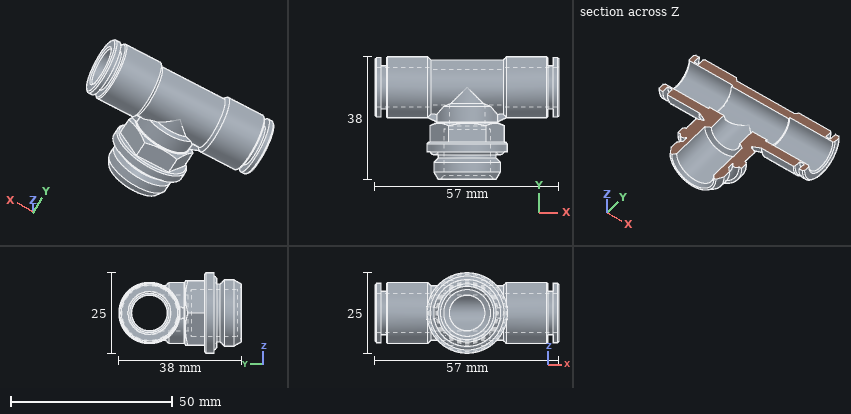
import cadquery as cq
import math


RUN_HALF_LENGTH = 28.5
RUN_DIA = 17.0
SLEEVE_DIA = 19.0
SLEEVE_INNER_END = 11.2
SLEEVE_OUTER_END = 25.0
SLEEVE_EDGE_CHAMFER = 0.4
COLLAR_DIA = 18.5
COLLAR_THICKNESS = 1.9
COLLAR_CHAMFER = 0.5
COLLAR_NECK_DIA = 13.5

FLOW_BORE_DIA = 11.0
TUBE_BORE_DIA = 12.2
TUBE_MOUTH_DIA = 13.2
TUBE_STOP = SLEEVE_INNER_END
BRANCH_BORE_DIA = 14.5
BRANCH_MOUTH_DIA = 16.5
BRANCH_MOUTH_ANGLE = 40.0
BRANCH_BORE_END = 13.0
BRANCH_BORE_CONE_ANGLE = 60.0

BOSS_DIA = 19.0
BOSS_CONE_START = 5.0
BOSS_END = 10.7
RELIEF_DIA = 18.7
HEX_START = 11.0
HEX_FLATS = 20.0
HEX_CHAMFER_DIA = 19.3
HEX_CHAMFER_ANGLE = 25.0
FLANGE_START = 17.0
FLANGE_END = 20.0
FLANGE_DIA = 25.0
FLANGE_CHAMFER = 0.5

SPIGOT_NECK_DIA = 18.0
SEAL_SECTION_DIA = 2.5
SEAL_PROJECTION = 0.9
THREAD_DIA = 20.7
SPIGOT_NECK_END = 21.9
BRANCH_LENGTH = 28.5
TIP_DIA = 18.0
TIP_ANGLE = 30.0

RIB_BOSS_WIDTH = 3.2
RIB_TAPER_ANGLE = 6.5
RIB_SLOPE_ANGLE = 25.0
RIB_INNER_Y = 6.0


def tan_deg(angle):
    return math.tan(math.radians(angle))


def revolve_along_x(stations):
    """Solid of revolution about X, the (x, diameter) stations of one half mirrored in x = 0."""
    right_half = [(x, dia / 2) for x, dia in stations]
    left_half = [(-x, radius) for x, radius in reversed(right_half)]
    end = stations[-1][0]
    outline = [(-end, 0)] + left_half + right_half + [(end, 0)]
    return cq.Workplane("XY").polyline(outline).close().revolve(360, (0, 0, 0), (1, 0, 0))


def revolve_along_branch(stations):
    """Solid of revolution about -Y from (distance, diameter) stations."""
    outline = [(dia / 2, -distance) for distance, dia in stations]
    outline = [(0, -stations[0][0])] + outline + [(0, -stations[-1][0])]
    return cq.Workplane("XY").polyline(outline).close().revolve(360, (0, 0, 0), (0, 1, 0))


def tube_run():
    sleeve_ramp = (SLEEVE_DIA - RUN_DIA) / 2
    collar_start = RUN_HALF_LENGTH - COLLAR_THICKNESS
    return revolve_along_x([
        (SLEEVE_INNER_END, RUN_DIA),
        (SLEEVE_INNER_END + sleeve_ramp, SLEEVE_DIA),
        (SLEEVE_OUTER_END - SLEEVE_EDGE_CHAMFER, SLEEVE_DIA),
        (SLEEVE_OUTER_END, SLEEVE_DIA - 2 * SLEEVE_EDGE_CHAMFER),
        (SLEEVE_OUTER_END, COLLAR_NECK_DIA),
        (collar_start, COLLAR_NECK_DIA),
        (collar_start, COLLAR_DIA),
        (RUN_HALF_LENGTH - COLLAR_CHAMFER, COLLAR_DIA),
        (RUN_HALF_LENGTH, COLLAR_DIA - 2 * COLLAR_CHAMFER),
    ])


def branch_body():
    boss_ramp = (BOSS_DIA - RUN_DIA) / 2
    thread_ramp = (THREAD_DIA - SPIGOT_NECK_DIA) / 2
    tip_length = (THREAD_DIA - TIP_DIA) / 2 / tan_deg(TIP_ANGLE)
    return revolve_along_branch([
        (0, RUN_DIA),
        (BOSS_CONE_START, RUN_DIA),
        (BOSS_CONE_START + boss_ramp, BOSS_DIA),
        (BOSS_END, BOSS_DIA),
        (BOSS_END, RELIEF_DIA),
        (FLANGE_START, RELIEF_DIA),
        (FLANGE_START, FLANGE_DIA - 2 * FLANGE_CHAMFER),
        (FLANGE_START + FLANGE_CHAMFER, FLANGE_DIA),
        (FLANGE_END, FLANGE_DIA),
        (FLANGE_END, SPIGOT_NECK_DIA),
        (SPIGOT_NECK_END, SPIGOT_NECK_DIA),
        (SPIGOT_NECK_END + thread_ramp, THREAD_DIA),
        (BRANCH_LENGTH - tip_length, THREAD_DIA),
        (BRANCH_LENGTH, TIP_DIA),
    ])


def wrench_hex():
    """Hexagon with corners on +X and -X, its edge near the run chamfered."""
    corner_dia = HEX_FLATS / math.cos(math.pi / 6)
    prism = (
        cq.Workplane("XZ", origin=(0, -HEX_START, 0))
        .polygon(6, corner_dia)
        .extrude(FLANGE_START - HEX_START)
    )
    chamfer_depth = (corner_dia - HEX_CHAMFER_DIA) / 2 * tan_deg(HEX_CHAMFER_ANGLE)
    envelope = revolve_along_branch([
        (HEX_START, HEX_CHAMFER_DIA),
        (HEX_START + chamfer_depth, corner_dia),
        (FLANGE_START, corner_dia),
    ])
    return prism.intersect(envelope)


def seal_ring():
    """Round-section ring on the spigot neck, partly sunk into the flange."""
    section_radius = SEAL_SECTION_DIA / 2
    ring_radius = SPIGOT_NECK_DIA / 2 + section_radius
    center = -(FLANGE_END + SEAL_PROJECTION - section_radius)
    return (
        cq.Workplane("XY")
        .center(ring_radius, center)
        .circle(section_radius)
        .revolve(360, (-ring_radius, 0, 0), (-ring_radius, 1, 0))
    )


def ribs():
    """Sloped webs in the two corners, widening from the boss towards the sleeves."""
    boss_radius = BOSS_DIA / 2
    depth = BOSS_END - RIB_INNER_Y
    length = depth / tan_deg(RIB_SLOPE_ANGLE)
    wedge = (
        cq.Workplane("XY")
        .polyline([
            (0, -RIB_INNER_Y),
            (boss_radius + length, -RIB_INNER_Y),
            (boss_radius, -BOSS_END),
            (0, -BOSS_END),
        ])
        .close()
        .extrude(boss_radius, both=True)
    )
    boss_half_width = RIB_BOSS_WIDTH / 2
    far_half_width = boss_half_width + length * tan_deg(RIB_TAPER_ANGLE)
    plan = (
        cq.Workplane("XZ", origin=(0, -RIB_INNER_Y, 0))
        .polyline([
            (0, -boss_half_width),
            (boss_radius, -boss_half_width),
            (boss_radius + length, -far_half_width),
            (boss_radius + length, far_half_width),
            (boss_radius, boss_half_width),
            (0, boss_half_width),
        ])
        .close()
        .extrude(depth)
    )
    rib = plan.intersect(wedge)
    return rib.union(rib.mirror("YZ"))


def run_bore():
    mouth_depth = (TUBE_MOUTH_DIA - TUBE_BORE_DIA) / 2
    return revolve_along_x([
        (TUBE_STOP, FLOW_BORE_DIA),
        (TUBE_STOP, TUBE_BORE_DIA),
        (RUN_HALF_LENGTH - mouth_depth, TUBE_BORE_DIA),
        (RUN_HALF_LENGTH, TUBE_MOUTH_DIA),
    ])


def branch_bore():
    cone_length = (BRANCH_BORE_DIA - FLOW_BORE_DIA) / 2 / tan_deg(BRANCH_BORE_CONE_ANGLE)
    mouth_depth = (BRANCH_MOUTH_DIA - BRANCH_BORE_DIA) / 2 / tan_deg(BRANCH_MOUTH_ANGLE)
    return revolve_along_branch([
        (0, FLOW_BORE_DIA),
        (BRANCH_BORE_END - cone_length, FLOW_BORE_DIA),
        (BRANCH_BORE_END, BRANCH_BORE_DIA),
        (BRANCH_LENGTH - mouth_depth, BRANCH_BORE_DIA),
        (BRANCH_LENGTH, BRANCH_MOUTH_DIA),
    ])


body = tube_run().union(branch_body()).union(wrench_hex()).union(seal_ring()).union(ribs())
result = body.cut(run_bore()).cut(branch_bore())